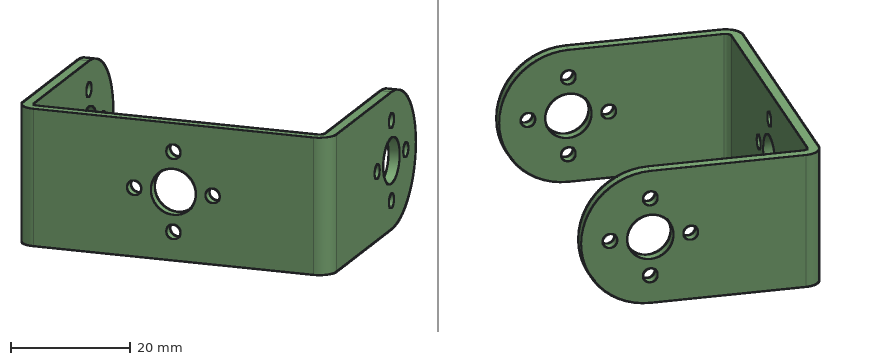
import cadquery as cq

width = 56.0
depth = 42.0
height = 24.0

thickness = 2.0
inner_bend_radius = 1.0
outer_bend_radius = inner_bend_radius + thickness

center_hole_diameter = 8.0
screw_hole_diameter = 2.5
screw_circle_radius = 7.0
screw_count = 4

arm_end_radius = height / 2
arm_hole_y = depth - arm_end_radius


def hole_pattern(plane, length):
    """Center hole with a ring of screw holes, extruded along the plane normal."""
    return (
        cq.Workplane(plane)
        .circle(center_hole_diameter / 2)
        .extrude(length)
        .polarArray(screw_circle_radius, 0, 360, screw_count)
        .circle(screw_hole_diameter / 2)
        .extrude(length)
    )


def bent_sheet():
    """U-shaped channel, centered on X and Z, with the web's outer face at Y = 0."""
    outer = (
        cq.Workplane("XY")
        .box(width, depth, height, centered=(True, False, True))
        .edges("|Z and <Y")
        .fillet(outer_bend_radius)
    )
    inner = (
        cq.Workplane("XY")
        .box(width - 2 * thickness, depth, height, centered=(True, False, True))
        .edges("|Z and <Y")
        .fillet(inner_bend_radius)
        .translate((0, thickness, 0))
    )
    return outer.cut(inner)


def arm_outline():
    """Side outline of the arms, extruded across the full width."""
    return (
        cq.Workplane("YZ", origin=(-width / 2, 0, 0))
        .moveTo(0, -height / 2)
        .lineTo(arm_hole_y, -height / 2)
        .threePointArc((depth, 0), (arm_hole_y, height / 2))
        .lineTo(0, height / 2)
        .close()
        .extrude(width)
    )


web_plane = cq.Plane(origin=(0, 0, 0), xDir=(1, 0, 0), normal=(0, 1, 0))
arm_plane = cq.Plane(origin=(-width / 2, arm_hole_y, 0), xDir=(0, 1, 0), normal=(1, 0, 0))

result = (
    bent_sheet()
    .intersect(arm_outline())
    .cut(hole_pattern(web_plane, thickness))
    .cut(hole_pattern(arm_plane, width))
)